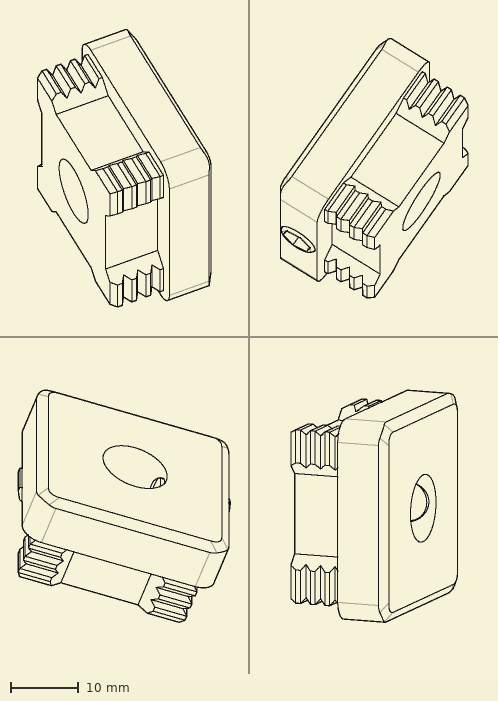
import cadquery as cq

cap_side = 30.0
cap_depth = 7.5
cap_corner_radius = 3.0
cap_chamfer_inset = 1.5
cap_chamfer_depth = 1.03

plug_side = 26.0
plug_length = 8.48
land_before_groove = 0.55
groove_count = 3
groove_pitch = 2.3
groove_depth = 0.8
groove_run_in = 0.97
groove_run_out = 0.58
tip_chamfer_depth = 0.55

recess_floor_width = 12.03
recess_depth = 2.0

bore_diameter = 10.0

screw_radius = 2.92
screw_hole_radius = 3.0
screw_protrusion = 0.4
screw_bore_reach = 0.6
screw_from_back = 4.13
screw_rim_radius = 0.45
socket_depth = 3.65
socket_angle = -15.0

screw_y = cap_depth - screw_from_back
screw_head_x = -cap_side / 2 - screw_protrusion
screw_tip_x = -bore_diameter / 2 + screw_bore_reach
screw_length = screw_tip_x - screw_head_x
screw_head_plane = cq.Plane(
    origin=(screw_head_x, screw_y, 0),
    xDir=(0, 1, 0),
    normal=(1, 0, 0),
)


def make_cap():
    """Square block, bevelled around its back face, with rounded corners."""
    block = (
        cq.Workplane("XZ", origin=(0, cap_depth, 0))
        .rect(cap_side, cap_side)
        .extrude(cap_depth)
        .edges("|Y")
        .fillet(cap_corner_radius)
    )
    return block.intersect(make_bevel_frustum())


def make_bevel_frustum():
    """Frustum with the bevels as its sides, rounded along the four sloping edges."""
    half_back = cap_side / 2 - cap_chamfer_inset
    half_front = half_back + cap_depth * cap_chamfer_inset / cap_chamfer_depth
    side_profile = [
        (-half_front, 0),
        (half_front, 0),
        (half_back, cap_depth),
        (-half_back, cap_depth),
    ]
    frustum = square_from_profile(side_profile, 2 * half_front)
    return frustum.edges("not #Y").fillet(cap_corner_radius)


def square_from_profile(profile, side):
    """Solid whose four sides, around the Y axis, all follow one symmetric profile."""
    along_z = cq.Workplane("XY").polyline(profile).close().extrude(side / 2, both=True)
    along_x = along_z.rotate((0, 0, 0), (0, 1, 0), 90)
    return along_z.intersect(along_x)


def make_plug():
    """Square stem with V grooves around it and a bevelled tip."""
    half_side = plug_side / 2
    edge = [(half_side, 0)]
    for groove in range(groove_count):
        start = land_before_groove + groove * groove_pitch
        root = start + groove_run_in
        edge.append((half_side, -start))
        edge.append((half_side - groove_depth, -root))
        edge.append((half_side, -root - groove_run_out))
    tip_start = land_before_groove + groove_count * groove_pitch
    edge.append((half_side, -tip_start))
    edge.append((half_side - tip_chamfer_depth, -plug_length))
    mirrored_edge = [(-x, y) for x, y in reversed(edge)]
    plug = square_from_profile(edge + mirrored_edge, plug_side)

    recess = make_recess()
    for side in range(4):
        plug = plug.cut(recess.rotate((0, 0, 0), (0, 1, 0), 90 * side))
    return plug


def make_recess():
    """Cutter for the recess in the +Z side of the plug."""
    half_floor = recess_floor_width / 2
    half_mouth = half_floor + recess_depth
    mouth_z = plug_side / 2
    floor_z = mouth_z - recess_depth
    outline = [
        (-half_floor, floor_z),
        (half_floor, floor_z),
        (half_mouth, mouth_z),
        (-half_mouth, mouth_z),
    ]
    return cq.Workplane("XZ").polyline(outline).close().extrude(plug_length)


def screw_cylinder(radius, length):
    """Plain cylinder on the screw axis, starting at the head end of the screw."""
    return cq.Workplane(screw_head_plane).circle(radius).extrude(length)


def make_insert():
    """Cap and plug in one piece, with the main bore and the set screw hole."""
    bore = (
        cq.Workplane("XZ", origin=(0, cap_depth, 0))
        .circle(bore_diameter / 2)
        .extrude(cap_depth + plug_length)
    )
    screw_hole = screw_cylinder(screw_hole_radius, -screw_head_x)
    return make_cap().union(make_plug()).cut(bore).cut(screw_hole)


def make_set_screw():
    """Screw with a rounded head rim and a hexagon socket that fills the flat inside the rim."""
    screw = screw_cylinder(screw_radius, screw_length)
    screw = screw.faces("<X").edges().fillet(screw_rim_radius)
    socket_diameter = 2 * (screw_radius - screw_rim_radius)
    socket = (
        cq.Workplane(screw_head_plane)
        .polygon(6, socket_diameter)
        .extrude(socket_depth)
        .rotate((0, screw_y, 0), (1, screw_y, 0), socket_angle)
    )
    return screw.cut(socket)


insert = make_insert()
set_screw = make_set_screw()

result = cq.Compound.makeCompound([insert.val(), set_screw.val()])